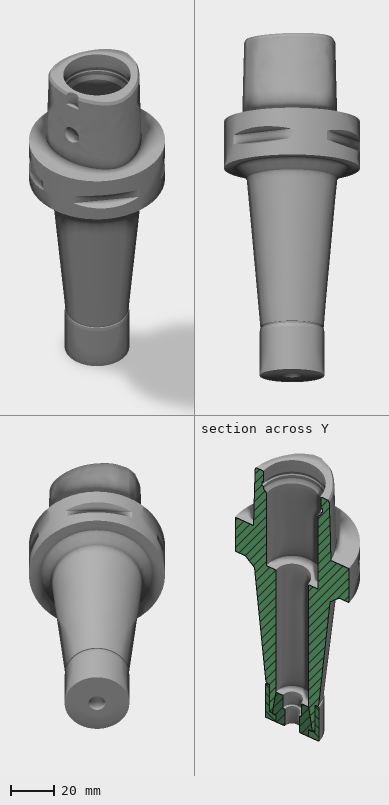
import cadquery as cq
import math


total_height = 158.0
shank_height = 37.9
flange_height = 22.1
shoulder_height = 4.9
neck_bottom_z = 22.9
nut_top_z = 22.0
flange_top_z = total_height - shank_height
flange_bottom_z = flange_top_z - flange_height
shoulder_bottom_z = flange_bottom_z - shoulder_height

shank_base_radius = 22.0
shank_lobe = 1.5
shank_taper = 1 / 40
half_outline_spans = 12
tip_bevel_height = 1.5
tip_bevel_width = 0.8

flange_diameter = 63.0
flange_radius = flange_diameter / 2
shoulder_top_radius = 25.9
neck_top_radius = 21.0
neck_bottom_radius = 14.7
gap_radius = 14.2

groove_count = 4
groove_z = 108.0
groove_floor_distance = 27.5
groove_floor_height = 4.3
groove_mouth_height = 7.7

notch_radius = 4.1
notch_center_y = -21.6
notch_depth = 6.5
dimple_radius = 4.1
dimple_z = 135.5
dimple_floor_y = -14.9

bore_radius = 15.6
clamp_groove_radius = 16.6
clamp_groove_top_depth = 7.5
clamp_groove_bottom_depth = 9.6
bore_cone_top_depth = 11.5
bore_cone_bottom_depth = 13.5
lower_bore_radius = 14.0
bore_floor_z = flange_bottom_z

nut_radius = 15.0
nut_bevel_height = 1.6
nut_bevel_width = 0.24
nut_lip_height = 4.7
thread_radius = 12.6
collet_small_radius = 8.8
collet_large_radius = 10.9
collet_half_angle = 8.0
tool_hole_radius = 4.0
relief_radius = 5.0
grip_length = 11.0
collet_top_z = nut_lip_height + (
    collet_large_radius - collet_small_radius
) / math.tan(math.radians(collet_half_angle))


def revolved(profile):
    """Turn (radius, z) points into a solid around Z."""
    return cq.Workplane("XZ").polyline(profile).close().revolve(360, (0, 0, 0), (0, 1, 0))


def shank_point(mean_radius, turn):
    """Point of the rounded triangle whose outward normal is at `turn`; one lobe points to +Y."""
    lobe_turn = 3 * (turn - math.pi / 2)
    reach = mean_radius + shank_lobe * math.cos(lobe_turn)
    slide = -3 * shank_lobe * math.sin(lobe_turn)
    x = reach * math.cos(turn) - slide * math.sin(turn)
    y = reach * math.sin(turn) + slide * math.cos(turn)
    return (x, y)


def shank_outline(z, mean_radius):
    """Rounded triangle made of a +X half and its mirror image; both meet the Y axis squarely."""
    points = []
    for index in range(half_outline_spans + 1):
        turn = math.pi * index / half_outline_spans - math.pi / 2
        points.append(cq.Vector(*shank_point(mean_radius, turn), z))
    tangents = [cq.Vector(1, 0, 0), cq.Vector(-1, 0, 0)]
    right_half = cq.Edge.makeSpline(points, tangents=tangents)
    left_half = right_half.mirror("YZ")
    return cq.Wire.assembleEdges([right_half, left_half])


def shank_section(bottom_z, bottom_radius, top_z, top_radius):
    outlines = [shank_outline(bottom_z, bottom_radius), shank_outline(top_z, top_radius)]
    return cq.Workplane(cq.Solid.makeLoft(outlines, True))


def make_shank():
    bevel_z = total_height - tip_bevel_height
    bevel_radius = shank_base_radius - shank_taper * (bevel_z - flange_top_z)
    taper = shank_section(flange_top_z, shank_base_radius, bevel_z, bevel_radius)
    bevel = shank_section(bevel_z, bevel_radius, total_height, bevel_radius - tip_bevel_width)
    return taper.union(bevel)


def make_turned_body():
    return revolved([
        (0, flange_top_z),
        (flange_radius, flange_top_z),
        (flange_radius, flange_bottom_z),
        (shoulder_top_radius, flange_bottom_z),
        (neck_top_radius, shoulder_bottom_z),
        (neck_bottom_radius, neck_bottom_z),
        (gap_radius, neck_bottom_z),
        (gap_radius, nut_top_z),
        (thread_radius, nut_top_z),
        (thread_radius, nut_lip_height),
        (0, nut_lip_height),
    ])


def make_bore():
    """Shank bore, clamping groove, and the seat that the collet fills."""
    return revolved([
        (0, total_height),
        (bore_radius, total_height),
        (bore_radius, total_height - clamp_groove_top_depth),
        (clamp_groove_radius, total_height - clamp_groove_top_depth),
        (clamp_groove_radius, total_height - clamp_groove_bottom_depth),
        (bore_radius, total_height - clamp_groove_bottom_depth),
        (bore_radius, total_height - bore_cone_top_depth),
        (lower_bore_radius, total_height - bore_cone_bottom_depth),
        (lower_bore_radius, bore_floor_z),
        (collet_small_radius, bore_floor_z),
        (collet_small_radius, collet_top_z),
        (collet_large_radius, nut_lip_height),
        (0, nut_lip_height),
    ])


def gripper_groove(angle):
    """Flat-floored groove with flared sides, cut across the flange at `angle` degrees."""
    half_floor = groove_floor_height / 2
    half_mouth = groove_mouth_height / 2
    return (
        cq.Workplane("XZ")
        .polyline([
            (groove_floor_distance, groove_z - half_floor),
            (flange_radius, groove_z - half_mouth),
            (flange_radius, groove_z + half_mouth),
            (groove_floor_distance, groove_z + half_floor),
        ])
        .close()
        .extrude(flange_radius, both=True)
        .rotate((0, 0, 0), (0, 0, 1), angle)
    )


def make_notch():
    notch_floor = cq.Workplane("XY", origin=(0, notch_center_y, total_height - notch_depth))
    return notch_floor.circle(notch_radius).extrude(notch_depth)


def make_dimple():
    dimple_floor = cq.Workplane("XZ", origin=(0, dimple_floor_y, dimple_z))
    return dimple_floor.circle(dimple_radius).extrude(shank_base_radius)


def make_housing():
    housing = make_turned_body().union(make_shank())
    for index in range(groove_count):
        housing = housing.cut(gripper_groove((index + 0.5) * 360 / groove_count))
    for pocket in (make_bore(), make_notch(), make_dimple()):
        housing = housing.cut(pocket)
    return housing


def make_nut():
    """Cup that covers the thread; its lip holds the collet in."""
    return revolved([
        (collet_small_radius, 0),
        (nut_radius, 0),
        (nut_radius, nut_top_z - nut_bevel_height),
        (nut_radius - nut_bevel_width, nut_top_z),
        (thread_radius, nut_top_z),
        (thread_radius, nut_lip_height),
        (collet_small_radius, nut_lip_height),
    ])


def make_collet():
    """Tapered sleeve with a tool hole that is relieved at the back."""
    return revolved([
        (tool_hole_radius, 0),
        (collet_small_radius, 0),
        (collet_small_radius, nut_lip_height),
        (collet_large_radius, nut_lip_height),
        (collet_small_radius, collet_top_z),
        (relief_radius, collet_top_z),
        (relief_radius, grip_length),
        (tool_hole_radius, grip_length),
    ])


housing = make_housing()
nut = make_nut()
collet = make_collet()

result = cq.Compound.makeCompound([housing.solids().val(), nut.val(), collet.val()])